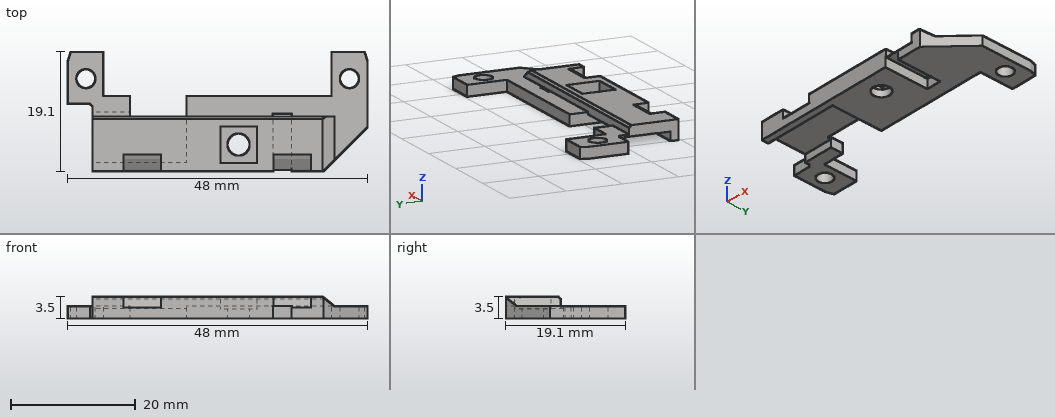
import cadquery as cq

length = 48.0
depth = 19.14
height = 3.5
plate_thickness = 2.0

body_left = 3.95
plate_back = 12.1
left_arm_width = 5.7
left_arm_front = 10.8
neck_corner_cut = 0.4
right_arm_left = 42.2
arm_tip_cut_x = 0.45
arm_tip_cut_y = 1.45
right_corner_cut = 7.05

gap_left = 10.0
gap_right = 19.0

bar_back = 8.8
bar_top_right = 40.8
bar_foot_right = 42.7
bar_back_chamfer = 0.4

arm_hole_diameter = 3.0
arm_hole_inset = 2.9
arm_hole_y = 14.85

pocket_x = 27.35
pocket_y = 4.3
pocket_side = 5.85
pocket_floor = 1.5
pocket_hole_diameter = 3.5

notch_width = 6.0
notch_starts = (8.95, 32.95)
notch_profile = ((0.0, 1.77), (0.3, 2.08), (1.93, 3.15), (2.75, height))

channel_front = 1.4
channel_back = 9.5
channel_height = 1.6

slot_left = 32.85
slot_width = 3.0
slot_back = 9.2


def block(x_range, y_range, z_range):
    """Axis-aligned box between the given limits."""
    sizes = [limits[1] - limits[0] for limits in (x_range, y_range, z_range)]
    corner = (x_range[0], y_range[0], z_range[0])
    return cq.Workplane("XY").box(*sizes, centered=False).translate(corner)


def vertical_hole(x, y, diameter):
    """Cylinder through the full height of the part."""
    return cq.Workplane("XY").center(x, y).circle(diameter / 2).extrude(height)


def base_plate():
    outline = [
        (body_left, 0),
        (length, 0),
        (length, depth - arm_tip_cut_y),
        (length - arm_tip_cut_x, depth),
        (right_arm_left, depth),
        (right_arm_left, plate_back),
        (gap_right, plate_back),
        (gap_right, bar_back),
        (gap_left, bar_back),
        (gap_left, plate_back),
        (left_arm_width, plate_back),
        (left_arm_width, depth),
        (arm_tip_cut_x, depth),
        (0, depth - arm_tip_cut_y),
        (0, left_arm_front),
        (body_left - neck_corner_cut, left_arm_front),
        (body_left, left_arm_front - neck_corner_cut),
    ]
    return cq.Workplane("XY").polyline(outline).close().extrude(plate_thickness)


def raised_bar():
    """Full-height bar with a ramp at its right end and a chamfered back top edge."""
    profile = [
        (body_left, 0),
        (bar_foot_right, 0),
        (bar_foot_right, plate_thickness),
        (bar_top_right, height),
        (body_left, height),
    ]
    bar = cq.Workplane("XZ").polyline(profile).close().extrude(-bar_back)
    return bar.faces(">Z").edges(">Y").chamfer(bar_back_chamfer)


def right_corner():
    """Triangular prism that trims the front right corner at 45 degrees."""
    triangle = [(length - right_corner_cut, 0), (length, 0), (length, right_corner_cut)]
    return cq.Workplane("XY").polyline(triangle).close().extrude(height)


def front_notch(start_x):
    section = list(notch_profile) + [(0, height)]
    notch = cq.Workplane("YZ").polyline(section).close().extrude(notch_width)
    return notch.translate((start_x, 0, 0))


def square_pocket():
    half = pocket_side / 2
    return block(
        (pocket_x - half, pocket_x + half),
        (pocket_y - half, pocket_y + half),
        (pocket_floor, height),
    )


result = base_plate().union(raised_bar()).cut(right_corner())

for hole_x in (arm_hole_inset, length - arm_hole_inset):
    result = result.cut(vertical_hole(hole_x, arm_hole_y, arm_hole_diameter))

result = result.cut(square_pocket())
result = result.cut(vertical_hole(pocket_x, pocket_y, pocket_hole_diameter))

for notch_start in notch_starts:
    result = result.cut(front_notch(notch_start))

channel = block((body_left, gap_right), (channel_front, channel_back), (0, channel_height))
cross_slot = block((slot_left, slot_left + slot_width), (0, slot_back), (0, plate_thickness))
result = result.cut(channel).cut(cross_slot)